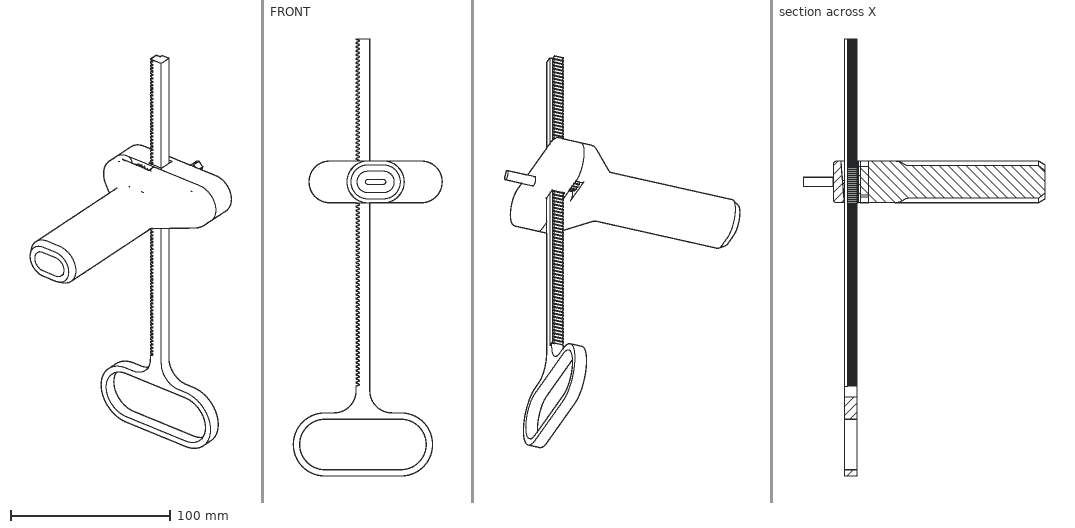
import cadquery as cq
import math


HEAD_WIDTH = 84.0
HEIGHT = 26.5
COVER_BACK = 17.3
COVER_EDGE_RADIUS = 2.2

HEAD_FRONT = -8.5
GRIP_WIDTH = 36.0
GRIP_START = -28.3
GRIP_END = -116.0
NECK_RADIUS = 5.0
SELECTION_MARGIN = 0.3
END_CHAMFER_LENGTH = 4.0
END_CHAMFER_INSET = 2.5

HOLLOW_COUNT = 4
HOLLOW_PITCH = 18.0
HOLLOW_FIRST_Y = -45.6
HOLLOW_DEPTH = 2.8
HOLLOW_RADIUS = 11.0
HOLLOW_EDGE_RADIUS = 4.0

BORE_WIDTH = 23.5
BORE_HEIGHT = 13.5
BORE_END_CHAMFER = 5.2
BORE_DEPTH = GRIP_START - GRIP_END

GAP_COUNT = 87
TEETH_LENGTH = 218.5
TOOTH_PITCH = TEETH_LENGTH / GAP_COUNT
TOOTH_HEIGHT = 2.0
TIP_SHARE = 0.13
ROOT_SHARE = 0.37
RACK_TIP_X = -12.5
RACK_BACK_X = -3.5
RACK_ROOT_X = RACK_TIP_X + TOOTH_HEIGHT
RACK_FRONT_Y = 2.2
RACK_THICKNESS = 8.0
RACK_BACK_Y = RACK_FRONT_Y + RACK_THICKNESS
TOOTH_WIDTH = 6.0
RELIEF_DEPTH = 3.3
RELIEF_X = RACK_TIP_X + RELIEF_DEPTH
RACK_LENGTH = 275.0
RACK_TOP = 90.0
RACK_BOTTOM = RACK_TOP - RACK_LENGTH
TEETH_END = RACK_TOP - TEETH_LENGTH
RACK_X = (RACK_TIP_X + RACK_BACK_X) / 2

LOOP_WIDTH = 87.7
LOOP_HEIGHT = 40.0
LOOP_WALL = 4.0
LOOP_FLARE_RADIUS = 13.8
LOOP_TOP = RACK_BOTTOM + LOOP_HEIGHT

WINDOW_SIDE_GAP = 0.7
WINDOW_FRONT_Y = 1.6
WINDOW_BACK_Y = 12.5

GEAR_TEETH = 27
GEAR_TIP_RADIUS = 11.0
GEAR_ROOT_RADIUS = GEAR_TIP_RADIUS - TOOTH_HEIGHT
GEAR_X = -17.5
GEAR_WIDTH = 5.0
POCKET_MOUTH_LENGTH = 22.8
POCKET_MOUTH_RADIUS = 3.8
GEAR_GAP = 0.5

SHAFT_RADIUS = 3.0
SHAFT_TIP_Y = 36.0
SHAFT_FLAT = 2.7
TIP_FLAT = 2.2
FLAT_ANGLE = 45
TIP_LENGTH = 5.8


def xz_plane(y):
    """Plane across Y at the given y, with local axes X and Z and its normal toward -Y."""
    return cq.Workplane("XZ", origin=(0, y, 0))


def stadium(y, width, height):
    """Flat-topped outline with semicircular ends, centred on the shaft axis."""
    return xz_plane(y).slot2D(width, height)


def limits_box(x_range, y_range, z_range):
    """Box given by its lower and upper limits along each axis."""
    corners = list(zip(x_range, y_range, z_range))
    size = [high - low for low, high in zip(*corners)]
    return cq.Workplane("XY").box(*size, centered=False).translate(corners[0])


def shaft_body():
    """Round shaft with a flat on its exposed length, cut deeper at the tip."""
    shaft = xz_plane(0).circle(SHAFT_RADIUS).extrude(-SHAFT_TIP_Y)
    tip_start = SHAFT_TIP_Y - TIP_LENGTH
    for flat, start, end in ((SHAFT_FLAT, COVER_BACK, tip_start), (TIP_FLAT, tip_start, SHAFT_TIP_Y)):
        cutter = limits_box((flat, 2 * SHAFT_RADIUS), (start, end), (-SHAFT_RADIUS, SHAFT_RADIUS))
        shaft = shaft.cut(cutter.rotate((0, 0, 0), (0, 1, 0), -FLAT_ANGLE))
    return shaft


def cover_body():
    """Back half of the housing, with openings for the rack and the shaft."""
    cover = stadium(0, HEAD_WIDTH, HEIGHT).extrude(-COVER_BACK)
    cover = cover.faces(">Y").edges().fillet(COVER_EDGE_RADIUS)
    shaft_hole = xz_plane(0).circle(SHAFT_RADIUS).extrude(-COVER_BACK)
    return cover.cut(rack_window()).cut(shaft_hole)


def rack_window():
    """Opening for the rack, with a back wall that leans in to meet the rack at the bottom."""
    left = RACK_TIP_X - WINDOW_SIDE_GAP
    right = RACK_BACK_X + WINDOW_SIDE_GAP
    top = HEIGHT / 2
    return (
        cq.Workplane("YZ", origin=(left, 0, 0))
        .polyline([(WINDOW_FRONT_Y, top), (WINDOW_BACK_Y, top), (RACK_BACK_Y, -top), (WINDOW_FRONT_Y, -top)])
        .close()
        .extrude(right - left)
    )


def cut_finger_hollow(handle, y, side):
    """Cut one side of the grip with a vertical cylinder and round the rim of the hollow."""
    grip_x = side * GRIP_WIDTH / 2
    axis_x = grip_x + side * (HOLLOW_RADIUS - HOLLOW_DEPTH)
    cutter = cq.Workplane("XY", origin=(axis_x, y, -HEIGHT)).circle(HOLLOW_RADIUS).extrude(2 * HEIGHT)
    rim_region = cq.selectors.BoxSelector(
        (grip_x - HOLLOW_RADIUS, y - HOLLOW_PITCH / 2, -HEIGHT),
        (grip_x + HOLLOW_RADIUS, y + HOLLOW_PITCH / 2, HEIGHT),
        boundingbox=True,
    )
    return handle.cut(cutter).edges(rim_region).fillet(HOLLOW_EDGE_RADIUS)


def bore():
    """Blind hollow of the grip, ending at the neck."""
    plain_bore = stadium(GRIP_END, BORE_WIDTH, BORE_HEIGHT).extrude(-BORE_DEPTH)
    return plain_bore.faces(">Y").edges().chamfer(BORE_END_CHAMFER)


def gear_pocket():
    """Round cavity around the gear, with a flared mouth through the top and bottom of the head."""
    half_height = HEIGHT / 2
    half_mouth = POCKET_MOUTH_LENGTH / 2
    half_throat = half_mouth - POCKET_MOUTH_RADIUS
    flare_start = half_height - POCKET_MOUTH_RADIUS
    cavity = xz_plane(0).center(GEAR_X, 0).circle(GEAR_TIP_RADIUS + GEAR_GAP).extrude(GEAR_WIDTH)
    mouth = (
        xz_plane(0)
        .center(GEAR_X, 0)
        .moveTo(-half_mouth, half_height)
        .radiusArc((-half_throat, flare_start), POCKET_MOUTH_RADIUS)
        .lineTo(-half_throat, -flare_start)
        .radiusArc((-half_mouth, -half_height), POCKET_MOUTH_RADIUS)
        .lineTo(half_mouth, -half_height)
        .radiusArc((half_throat, -flare_start), POCKET_MOUTH_RADIUS)
        .lineTo(half_throat, flare_start)
        .radiusArc((half_mouth, half_height), POCKET_MOUTH_RADIUS)
        .close()
        .extrude(GEAR_WIDTH)
    )
    return cavity.union(mouth)


def handle_body():
    """Front half of the housing: the head narrows through a neck into the hollow grip."""
    head = stadium(0, HEAD_WIDTH, HEIGHT).extrude(-HEAD_FRONT)
    neck = (
        stadium(HEAD_FRONT, HEAD_WIDTH, HEIGHT)
        .workplane(offset=HEAD_FRONT - GRIP_START)
        .slot2D(GRIP_WIDTH, HEIGHT)
        .loft(ruled=True)
    )
    grip = stadium(GRIP_START, GRIP_WIDTH, HEIGHT).extrude(GRIP_START - GRIP_END)
    handle = head.union(neck).union(grip)
    for y in (HEAD_FRONT, GRIP_START):
        low = (-HEAD_WIDTH, y - SELECTION_MARGIN, -HEIGHT)
        high = (HEAD_WIDTH, y + SELECTION_MARGIN, HEIGHT)
        bend = cq.selectors.BoxSelector(low, high)
        handle = handle.edges(bend).edges("%CIRCLE").fillet(NECK_RADIUS)
    handle = handle.faces("<Y").edges().chamfer(END_CHAMFER_LENGTH, END_CHAMFER_INSET)
    for index in range(HOLLOW_COUNT):
        for side in (-1, 1):
            handle = cut_finger_hollow(handle, HOLLOW_FIRST_Y - index * HOLLOW_PITCH, side)
    return handle.cut(bore()).cut(gear_pocket())


def gear_body():
    """Spur gear whose straight-flanked teeth are half a pitch wide at mid height."""
    pitch_angle = 2 * math.pi / GEAR_TEETH
    points = []
    for index in range(GEAR_TEETH):
        middle = math.pi / 2 + index * pitch_angle
        for radius, offset in (
            (GEAR_ROOT_RADIUS, -ROOT_SHARE),
            (GEAR_TIP_RADIUS, -TIP_SHARE),
            (GEAR_TIP_RADIUS, TIP_SHARE),
            (GEAR_ROOT_RADIUS, ROOT_SHARE),
        ):
            angle = middle + offset * pitch_angle
            points.append((radius * math.cos(angle), radius * math.sin(angle)))
    return xz_plane(0).center(GEAR_X, 0).polyline(points).close().extrude(GEAR_WIDTH)


def rack_bar():
    """Plain bar behind the teeth and beside them, over the full thickness."""
    height = RACK_TOP - LOOP_TOP
    return (
        cq.Workplane("XY", origin=(0, 0, LOOP_TOP))
        .moveTo((RELIEF_X + RACK_BACK_X) / 2, (RACK_FRONT_Y + RACK_BACK_Y) / 2)
        .rect(RACK_BACK_X - RELIEF_X, RACK_THICKNESS)
        .extrude(height)
    )


def rack_teeth():
    """Toothed front part of the bar, starting with half a tooth at the top and ending with half a tooth."""
    points = [(RACK_BACK_X, RACK_TOP), (RACK_TIP_X, RACK_TOP)]
    for index in range(GAP_COUNT):
        for x, share in (
            (RACK_TIP_X, TIP_SHARE),
            (RACK_ROOT_X, ROOT_SHARE),
            (RACK_ROOT_X, 1 - ROOT_SHARE),
            (RACK_TIP_X, 1 - TIP_SHARE),
        ):
            points.append((x, RACK_TOP - (index + share) * TOOTH_PITCH))
    points += [(RACK_TIP_X, TEETH_END), (RACK_BACK_X, TEETH_END)]
    return xz_plane(RACK_FRONT_Y + TOOTH_WIDTH).polyline(points).close().extrude(TOOTH_WIDTH)


def rack_loop():
    """Pull loop, with the flared foot of the bar that grows out of it."""
    loop_z = LOOP_TOP - LOOP_HEIGHT / 2
    flare_top = LOOP_TOP + LOOP_FLARE_RADIUS
    plane = xz_plane(RACK_BACK_Y)
    outer = plane.center(RACK_X, loop_z).slot2D(LOOP_WIDTH, LOOP_HEIGHT).extrude(RACK_THICKNESS)
    foot = (
        plane.moveTo(RACK_TIP_X, TEETH_END)
        .lineTo(RACK_TIP_X, flare_top)
        .radiusArc((RACK_TIP_X - LOOP_FLARE_RADIUS, LOOP_TOP), LOOP_FLARE_RADIUS)
        .lineTo(RACK_TIP_X - LOOP_FLARE_RADIUS, loop_z)
        .lineTo(RACK_BACK_X + LOOP_FLARE_RADIUS, loop_z)
        .lineTo(RACK_BACK_X + LOOP_FLARE_RADIUS, LOOP_TOP)
        .radiusArc((RACK_BACK_X, flare_top), LOOP_FLARE_RADIUS)
        .lineTo(RACK_BACK_X, TEETH_END)
        .close()
        .extrude(RACK_THICKNESS)
    )
    opening = (
        plane.center(RACK_X, loop_z)
        .slot2D(LOOP_WIDTH - 2 * LOOP_WALL, LOOP_HEIGHT - 2 * LOOP_WALL)
        .extrude(RACK_THICKNESS)
    )
    return outer.union(foot).cut(opening)


def rack_body():
    """Rack bar, teeth and pull loop in one piece."""
    return rack_bar().union(rack_teeth()).union(rack_loop())


result = cq.Compound.makeCompound([
    cover_body().val(),
    handle_body().val(),
    rack_body().val(),
    gear_body().val(),
    shaft_body().val(),
])